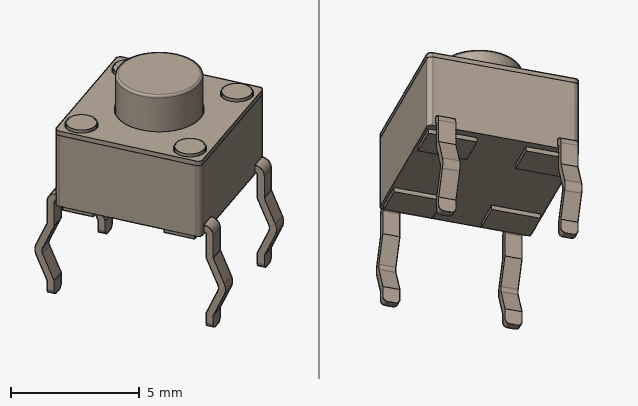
import cadquery as cq
import math


case_width = 6.2
case_corner_radius = 0.2
case_height = 3.4
cover_thickness = 0.2
base_height = case_height - cover_thickness

button_diameter = 3.4
button_hole_diameter = 3.5
button_top = 5.0
button_rim_radius = 0.1

rivet_diameter = 1.2
rivet_hole_diameter = 1.3
rivet_spacing = 4.6
rivet_top = case_height + 0.1

foot_length_x = 1.3
foot_length_y = 2.0
foot_height = 0.2
foot_spacing_x = 4.3
foot_spacing_y = 4.0

lead_thickness = 0.3
lead_width = 0.7
lead_pitch = 5.0
lead_shift_y = 0.05
lead_bend_inner_radius = 0.1
lead_bend_outer_radius = lead_bend_inner_radius + lead_thickness
lead_bottom = -4.2
lead_tip_radius = 0.2
kink_top = -1.0
kink_bottom = -3.6
bulge_z = (kink_top + kink_bottom) / 2
bulge_reach = 4.02
bulge_outer_radius = 0.6
bulge_inner_radius = bulge_outer_radius - lead_thickness

wall_x = case_width / 2
lead_outer_x = wall_x + lead_bend_outer_radius
lead_inner_x = wall_x + lead_bend_inner_radius
bulge_center_x = bulge_reach - bulge_outer_radius

kink_dx = lead_outer_x - bulge_center_x
kink_dz = kink_top - bulge_z
flank_angle = math.asin(bulge_outer_radius / math.hypot(kink_dx, kink_dz)) - math.atan2(kink_dx, kink_dz)
kink_miter = lead_thickness * math.tan(flank_angle / 2)


def case_slab(bottom, height):
    """Square slab with the rounded vertical corners of the case."""
    slab = cq.Workplane("XY").workplane(offset=bottom).rect(case_width, case_width).extrude(height)
    return slab.edges("|Z").fillet(case_corner_radius)


def make_base():
    base = case_slab(0, base_height)
    button = (
        cq.Workplane("XY").workplane(offset=base_height)
        .circle(button_diameter / 2).extrude(button_top - base_height)
        .faces(">Z").edges().fillet(button_rim_radius)
    )
    rivets = (
        cq.Workplane("XY").workplane(offset=base_height)
        .rarray(rivet_spacing, rivet_spacing, 2, 2)
        .circle(rivet_diameter / 2).extrude(rivet_top - base_height)
    )
    feet = (
        cq.Workplane("XY")
        .rarray(foot_spacing_x, foot_spacing_y, 2, 2)
        .rect(foot_length_x, foot_length_y).extrude(-foot_height)
    )
    return base.union(button).union(rivets).union(feet)


def make_cover():
    cover = case_slab(base_height, cover_thickness)
    button_hole = (
        cq.Workplane("XY").workplane(offset=base_height)
        .circle(button_hole_diameter / 2).extrude(cover_thickness)
    )
    rivet_holes = (
        cq.Workplane("XY").workplane(offset=base_height)
        .rarray(rivet_spacing, rivet_spacing, 2, 2)
        .circle(rivet_hole_diameter / 2).extrude(cover_thickness)
    )
    return cover.cut(button_hole).cut(rivet_holes)


def bulge_point(radius, angle):
    """Point (X, Z) on a bulge arc, with the angle measured upward from +X."""
    return (bulge_center_x + radius * math.cos(angle), bulge_z + radius * math.sin(angle))


def bend_point(radius):
    """Middle point (X, Z) of a quarter bend at the case wall."""
    return (wall_x + radius * math.cos(math.pi / 4), radius * math.sin(math.pi / 4))


def make_lead(center_y):
    """Lead on the +X wall: bent strip profile in XZ, extruded over its width in Y."""
    profile = (
        cq.Workplane("XZ", origin=(0, center_y, 0))
        .moveTo(wall_x, lead_bend_outer_radius)
        .threePointArc(bend_point(lead_bend_outer_radius), (lead_outer_x, 0))
        .lineTo(lead_outer_x, kink_top)
        .lineTo(*bulge_point(bulge_outer_radius, flank_angle))
        .threePointArc(bulge_point(bulge_outer_radius, 0), bulge_point(bulge_outer_radius, -flank_angle))
        .lineTo(lead_outer_x, kink_bottom)
        .lineTo(lead_outer_x, lead_bottom)
        .lineTo(lead_inner_x, lead_bottom)
        .lineTo(lead_inner_x, kink_bottom + kink_miter)
        .lineTo(*bulge_point(bulge_inner_radius, -flank_angle))
        .threePointArc(bulge_point(bulge_inner_radius, 0), bulge_point(bulge_inner_radius, flank_angle))
        .lineTo(lead_inner_x, kink_top - kink_miter)
        .lineTo(lead_inner_x, 0)
        .threePointArc(bend_point(lead_bend_inner_radius), (wall_x, lead_bend_inner_radius))
        .close()
    )
    lead = profile.extrude(lead_width / 2, both=True)
    return lead.faces("<Z").edges("|X").fillet(lead_tip_radius)


base = make_base()
cover = make_cover()

leads = []
for side_angle in (0, 180):
    for row in (-1, 1):
        lead = make_lead(row * lead_pitch / 2 + lead_shift_y)
        leads.append(lead.rotate((0, 0, 0), (0, 0, 1), side_angle))

result = cq.Compound.makeCompound([base.val(), cover.val(), *[lead.val() for lead in leads]])